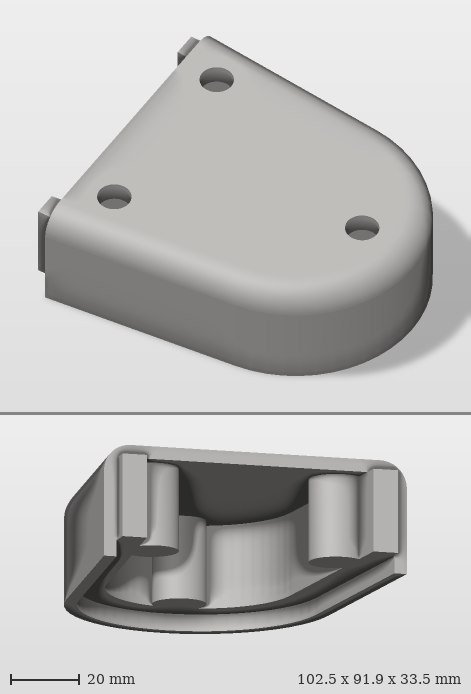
import cadquery as cq
import math

body_height = 33.5
front_width = 91.9
tab_length = 5.0
total_length = 102.5
nose_radius = 40.0
nose_center_x = total_length - nose_radius
top_fillet = 8.0

roof_thickness = 3.8
recess_wall = 3.8
recess_depth = 5.0
cavity_wall = 12.0
cavity_top = body_height - roof_thickness

tab_outer_width = 83.6

boss_diameter = 16.0
hole_diameter = 10.0
hole_depth = 6.0
rear_boss_x = 85.4
side_boss_x = 17.5
side_boss_y = 28.0
boss_places = [(side_boss_x, side_boss_y), (side_boss_x, -side_boss_y), (rear_boss_x, 0)]

corner_run = nose_center_x - tab_length
corner_distance = math.hypot(corner_run, front_width / 2)
corner_angle = math.atan2(front_width / 2, corner_run)
taper = corner_angle + math.acos(nose_radius / corner_distance) - math.pi / 2


def outline_solid(inset, front_x, bottom, top):
    """Prism on the body outline moved inward by inset, starting at front_x."""
    radius = nose_radius - inset
    tangent_x = nose_center_x + radius * math.sin(taper)
    tangent_y = radius * math.cos(taper)
    front_y = tangent_y + (tangent_x - front_x) * math.tan(taper)
    return (
        cq.Workplane("XY", origin=(0, 0, bottom))
        .moveTo(front_x, -front_y)
        .lineTo(tangent_x, -tangent_y)
        .threePointArc((nose_center_x + radius, 0), (tangent_x, tangent_y))
        .lineTo(front_x, front_y)
        .close()
        .extrude(top - bottom)
    )


def round_posts(diameter, bottom, top):
    """Upright cylinders at all boss places."""
    return (
        cq.Workplane("XY", origin=(0, 0, bottom))
        .pushPoints(boss_places)
        .circle(diameter / 2)
        .extrude(top - bottom)
    )


body = outline_solid(0, tab_length, 0, body_height)
body = body.faces(">Z").edges("not <X").fillet(top_fillet)

tab_block = cq.Workplane("XY").box(
    tab_length, tab_outer_width, cavity_top - recess_depth, centered=(False, True, False)
).translate((0, 0, recess_depth))

recess = outline_solid(recess_wall, 0, 0, recess_depth)
cavity = outline_solid(cavity_wall, 0, recess_depth, cavity_top)
bosses = round_posts(boss_diameter, recess_depth, cavity_top)
holes = round_posts(hole_diameter, body_height - hole_depth, body_height)

result = body.union(tab_block).cut(recess).cut(cavity).union(bosses).cut(holes)